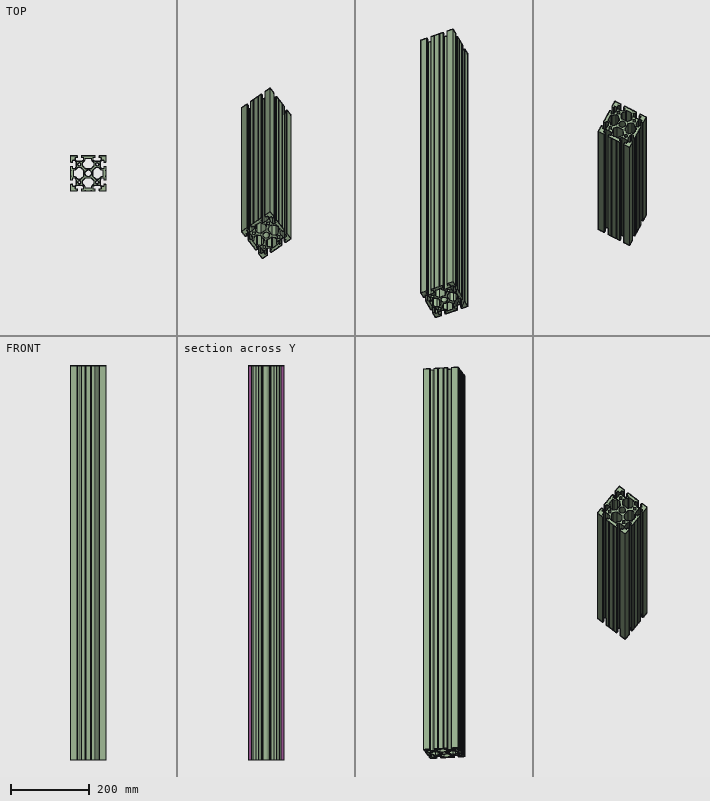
import cadquery as cq

side = 90.0
length = 1000.0
half_side = side / 2
slot_spacing = side / 2
slot_offset = slot_spacing / 2

mouth_width = 10.0
mouth_flare = 0.8
mouth_flare_depth = 1.0
lip_thickness = 5.5
cavity_width = 20.0
cavity_wall = 6.0
cavity_taper = 2.3
floor_width = 14.0
floor_dip = 0.5
floor_flat_width = 3.0

groove_offset = 7.3
groove_width = 2.0
groove_depth = 0.5

hollow_inner_edge = 12.0
hollow_outer_edge = 37.0
hollow_width = 29.0
hollow_end_width = 16.0
hollow_outer_neck = 3.9
hollow_outer_taper = 6.9
hollow_inner_taper = 7.6

core_bore = 7.4
center_bore = 16.0


def prism(outline):
    return cq.Workplane("XY").polyline(outline).close().extrude(length)


def mirrored_outline(right_side, center_x=0):
    """Full outline from the (half width, y) points of its right side."""
    right = [(center_x + half_width, y) for half_width, y in right_side]
    left = [(center_x - half_width, y) for half_width, y in reversed(right_side)]
    return right + left


def slot(center_x):
    """T-slot with flared lips, tapered cavity and a slightly dished floor."""
    lip_y = half_side - lip_thickness
    shoulder_y = lip_y - cavity_wall
    floor_y = shoulder_y - cavity_taper
    right_side = [
        (mouth_width / 2 + mouth_flare, half_side),
        (mouth_width / 2, half_side - mouth_flare_depth),
        (mouth_width / 2, lip_y),
        (cavity_width / 2, lip_y),
        (cavity_width / 2, shoulder_y),
        (floor_width / 2, floor_y),
        (floor_flat_width / 2, floor_y - floor_dip),
    ]
    return prism(mirrored_outline(right_side, center_x))


def groove(center_x):
    right_side = [
        (groove_width / 2, half_side),
        (groove_width / 2, half_side - groove_depth),
    ]
    return prism(mirrored_outline(right_side, center_x))


def hollow():
    """Eight-sided chamber with a straight neck toward the outer wall."""
    neck_y = hollow_outer_edge - hollow_outer_neck
    right_side = [
        (hollow_end_width / 2, hollow_outer_edge),
        (hollow_end_width / 2, neck_y),
        (hollow_width / 2, neck_y - hollow_outer_taper),
        (hollow_width / 2, hollow_inner_edge + hollow_inner_taper),
        (hollow_end_width / 2, hollow_inner_edge),
    ]
    return prism(mirrored_outline(right_side))


profile = cq.Workplane("XY").rect(side, side).extrude(length)

side_cutters = [hollow()]
for direction in (-1, 1):
    side_cutters.append(slot(direction * slot_offset))
    side_cutters.append(groove(direction * groove_offset))

for angle in (0, 90, 180, 270):
    for cutter in side_cutters:
        profile = profile.cut(cutter.rotate((0, 0, 0), (0, 0, 1), angle))

core_centers = cq.Workplane("XY").rect(slot_spacing, slot_spacing, forConstruction=True).vertices()
profile = profile.cut(core_centers.circle(core_bore / 2).extrude(length))
profile = profile.cut(cq.Workplane("XY").circle(center_bore / 2).extrude(length))

result = profile